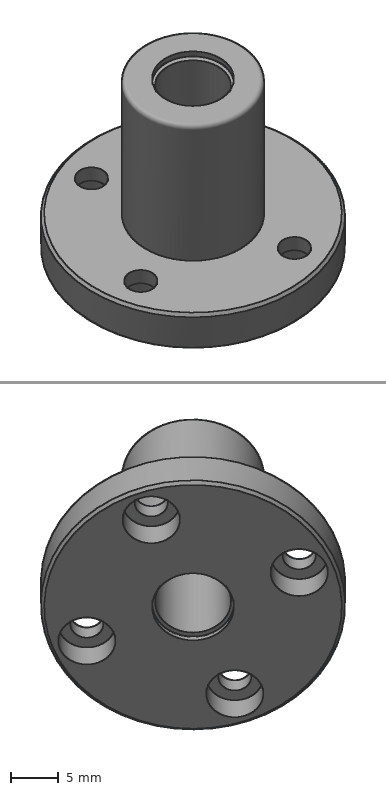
import cadquery as cq

flange_diameter = 32.0
flange_thickness = 5.0
flange_chamfer = 0.35

total_height = 24.0
barrel_diameter = 15.0
barrel_fillet = 0.5

bore_diameter = 8.0
recess_diameter = 8.6
recess_depth = 1.0
groove_diameter = 9.2
lip_thickness = 0.7

bolt_count = 4
bolt_circle_diameter = 24.0
bolt_hole_diameter = 3.5
bolt_head_diameter = 6.0
bolt_head_depth = 3.1


def cylinder(diameter, height, base_z=0.0):
    """Solid cylinder on the Z axis, standing on base_z."""
    return cq.Workplane("XY").workplane(offset=base_z).circle(diameter / 2).extrude(height)


def make_body():
    flange = cylinder(flange_diameter, flange_thickness).edges().chamfer(flange_chamfer)
    barrel = cylinder(barrel_diameter, total_height).faces(">Z").edges().fillet(barrel_fillet)
    return flange.union(barrel)


def make_bore():
    bore = cylinder(bore_diameter, total_height)
    groove_width = recess_depth - lip_thickness
    for recess_base in (0.0, total_height - recess_depth):
        bore = bore.union(cylinder(recess_diameter, recess_depth, recess_base))
    for groove_base in (lip_thickness, total_height - recess_depth):
        bore = bore.union(cylinder(groove_diameter, groove_width, groove_base))
    return bore


def make_bolt_holes():
    bolt_hole = cylinder(bolt_hole_diameter, flange_thickness)
    bolt_hole = bolt_hole.union(cylinder(bolt_head_diameter, bolt_head_depth))
    return (
        cq.Workplane("XY")
        .polarArray(bolt_circle_diameter / 2, 0, 360, bolt_count)
        .eachpoint(bolt_hole.val(), combine=False)
    )


result = make_body().cut(make_bore()).cut(make_bolt_holes())